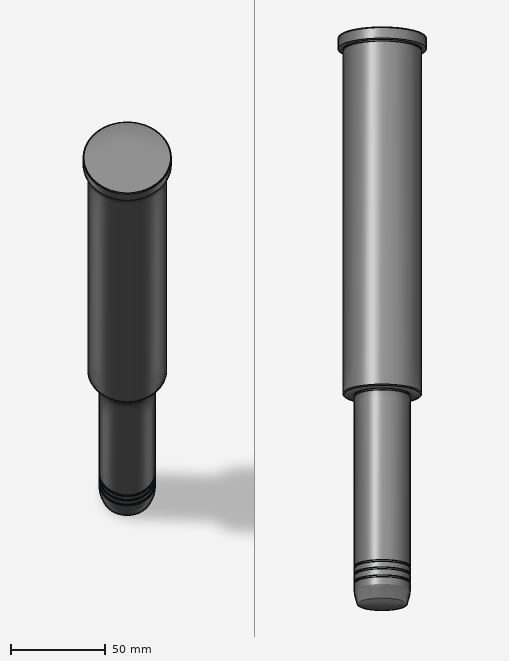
import cadquery as cq

total_length = 311.0
head_diameter = 47.0
head_height = 6.2
body_diameter = 42.0
pin_diameter = 30.0
pin_length = 115.0

head_chamfer = 0.47
body_chamfer = 0.5
tip_height = 7.5
tip_end_radius = 13.0
tip_mid_radius = 14.3
tip_mid_height = 3.7
tip_edge_fillet = 1.0

groove_width = 1.0
groove_depth = 0.47
groove_heights = (12.0, 16.5, 20.5)

relief_width = 1.0
relief_depth = 0.3


def cylinder(diameter, bottom, top):
    return cq.Workplane("XY").workplane(offset=bottom).circle(diameter / 2).extrude(top - bottom)


def make_tip():
    """Solid of revolution whose side curves inward towards the lower end."""
    profile = (
        cq.Workplane("XZ")
        .lineTo(tip_end_radius, 0)
        .threePointArc((tip_mid_radius, tip_mid_height), (pin_diameter / 2, tip_height))
        .lineTo(0, tip_height)
        .close()
    )
    tip = profile.revolve(360, (0, 0, 0), (0, 1, 0))
    return tip.faces("<Z").edges().fillet(tip_edge_fillet)


def make_groove(shaft_diameter, center_height, width, depth):
    """Ring that removes a groove of the given width and depth from a shaft."""
    bottom = center_height - width / 2
    top = center_height + width / 2
    return cylinder(shaft_diameter, bottom, top).cut(cylinder(shaft_diameter - 2 * depth, bottom, top))


head_bottom = total_length - head_height
head = cylinder(head_diameter, head_bottom, total_length).faces(">Z").edges().chamfer(head_chamfer)
body = cylinder(body_diameter, pin_length, head_bottom).faces("<Z").edges().chamfer(body_chamfer)
pin = cylinder(pin_diameter, tip_height, pin_length)

for groove_height in groove_heights:
    pin = pin.cut(make_groove(pin_diameter, groove_height, groove_width, groove_depth))

body = body.cut(make_groove(body_diameter, head_bottom - relief_width / 2, relief_width, relief_depth))
pin = pin.cut(make_groove(pin_diameter, pin_length - relief_width / 2, relief_width, relief_depth))

result = make_tip().union(pin).union(body).union(head)